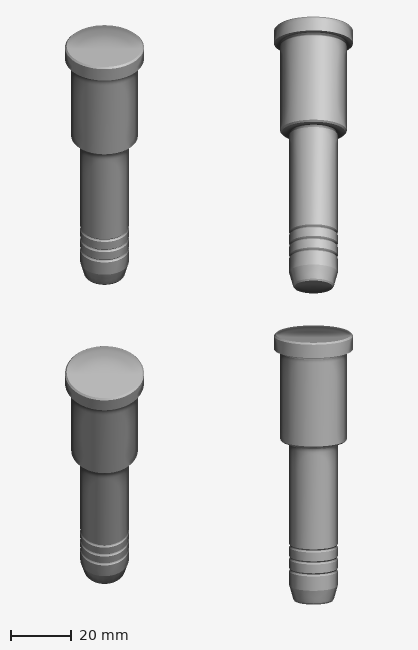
import cadquery as cq

total_length = 90.0
head_height = 5.0
shank_end_depth = 36.0
relief_height = 1.0
nose_height = 5.0

head_diameter = 26.0
head_radius = head_diameter / 2
shank_radius = 11.0
pin_radius = 8.0
nose_radius = 6.75

head_chamfer = 0.5
shank_chamfer = 0.5
tip_chamfer_height = 0.5
tip_chamfer_width = 0.4
relief_depth = 0.45
neck_groove_width = 1.0
pin_groove_width = 1.1
groove_count = 3
lowest_groove_z = 10.4
groove_pitch = 4.05

head_bottom_z = total_length - head_height
shank_bottom_z = total_length - shank_end_depth
relief_bottom_z = shank_bottom_z - relief_height


def v_groove(center_z, surface_radius, width):
    """Ring of triangular section with 45 degree flanks, to be cut from a cylinder."""
    half_width = width / 2
    section = [
        (surface_radius - half_width, center_z),
        (surface_radius, center_z + half_width),
        (surface_radius, center_z - half_width),
    ]
    return cq.Workplane("XZ").polyline(section).close().revolve(360, (0, 0), (0, 1))


body_section = [
    (0, 0),
    (nose_radius - tip_chamfer_width, 0),
    (nose_radius, tip_chamfer_height),
    (pin_radius, nose_height),
    (pin_radius, relief_bottom_z),
    (pin_radius - relief_depth, relief_bottom_z),
    (pin_radius - relief_depth, shank_bottom_z),
    (shank_radius - shank_chamfer, shank_bottom_z),
    (shank_radius, shank_bottom_z + shank_chamfer),
    (shank_radius, head_bottom_z),
    (head_radius, head_bottom_z),
    (head_radius, total_length - head_chamfer),
    (head_radius - head_chamfer, total_length),
    (0, total_length),
]
result = cq.Workplane("XZ").polyline(body_section).close().revolve(360, (0, 0), (0, 1))

neck_groove_z = head_bottom_z - neck_groove_width / 2
result = result.cut(v_groove(neck_groove_z, shank_radius, neck_groove_width))

for index in range(groove_count):
    groove_z = lowest_groove_z + index * groove_pitch
    result = result.cut(v_groove(groove_z, pin_radius, pin_groove_width))